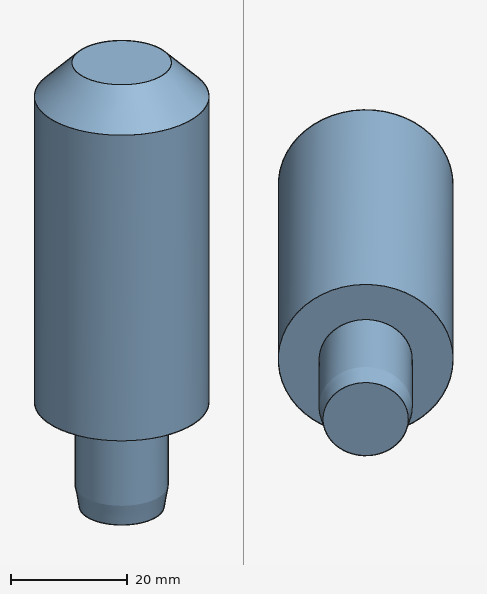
import cadquery as cq

total_height = 85.0
body_diameter = 30.0
pin_diameter = 16.0
pin_length = 20.0

top_chamfer = 6.5
tip_height = 4.0
tip_diameter = 14.6

body_radius = body_diameter / 2
pin_radius = pin_diameter / 2
tip_radius = tip_diameter / 2

half_section = (
    cq.Workplane("XZ")
    .moveTo(0, 0)
    .lineTo(tip_radius, 0)
    .lineTo(pin_radius, tip_height)
    .lineTo(pin_radius, pin_length)
    .lineTo(body_radius, pin_length)
    .lineTo(body_radius, total_height - top_chamfer)
    .lineTo(body_radius - top_chamfer, total_height)
    .lineTo(0, total_height)
    .close()
)

result = half_section.revolve(360, (0, 0, 0), (0, 1, 0))